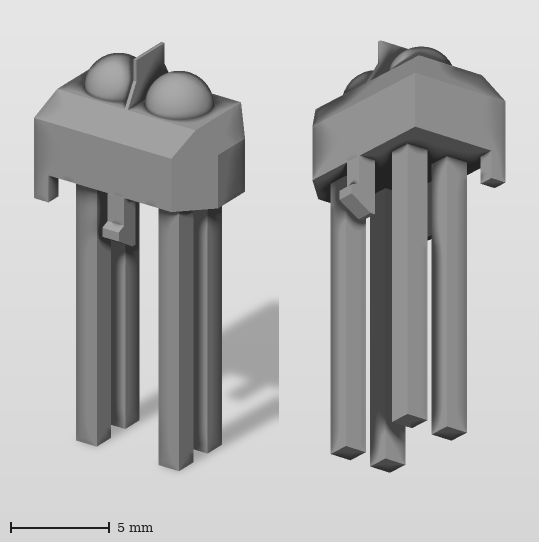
import cadquery as cq

total_height = 22.0
body_length = 10.19
body_width = 5.8
clip_span = 6.85

pin_length = 15.0
wall_height = 3.0
taper_height = 1.5
taper_inset_x = 0.81
taper_inset_y = 0.88
corner_cut = taper_inset_x + taper_inset_y
shoulder_z = pin_length + wall_height
top_z = shoulder_z + taper_height
top_length = body_length - 2 * taper_inset_x
top_width = body_width - 2 * taper_inset_y

pin_size = 1.28
pin_pitch_x = 5.08
pin_pitch_y = pin_pitch_x / 2

lens_radius = 1.75
lens_spacing = 3.75
lens_rise = 1.72

divider_thickness = 0.2
divider_top_width = 2.5
divider_taper_height = (top_width - divider_top_width) / 2 * taper_height / taper_inset_y

tab_length = 0.9
tab_width = 0.9
tab_drop = 1.52

clip_width = 1.01
clip_inner_y = 1.94
clip_outer_y = 2.95
clip_foot_y = 2.2
clip_tip_y = clip_span / 2
barb_start_drop = 1.55
barb_tip_drop = 1.74
barb_tip_end_drop = 2.25
clip_drop = 3.0


def make_housing():
    walls = cq.Workplane("XY").workplane(offset=pin_length).rect(body_length, body_width).extrude(wall_height)
    taper = (
        cq.Workplane("XY").workplane(offset=shoulder_z).rect(body_length, body_width)
        .workplane(offset=taper_height).rect(top_length, top_width)
        .loft(ruled=True)
    )
    housing = walls.union(taper)
    end_x = body_length / 2
    for side in (-1, 1):
        side_y = side * body_width / 2
        corner = (
            cq.Workplane("XY").workplane(offset=pin_length)
            .moveTo(end_x, side_y)
            .lineTo(end_x - corner_cut, side_y)
            .lineTo(end_x, side_y - side * corner_cut)
            .close()
            .extrude(wall_height + taper_height)
        )
        housing = housing.cut(corner)
    return housing


def make_pins():
    return (
        cq.Workplane("XY")
        .rarray(pin_pitch_x, pin_pitch_y, 2, 2)
        .rect(pin_size, pin_size)
        .extrude(pin_length)
    )


def make_lens(center_x):
    center_z = top_z + lens_rise - lens_radius
    lens = cq.Workplane("XY").sphere(lens_radius).translate((center_x, 0, center_z))
    keep_above_top = cq.Workplane("XY").box(
        2 * lens_radius, 2 * lens_radius, lens_rise, centered=(True, True, False)
    )
    return lens.intersect(keep_above_top.translate((center_x, 0, top_z)))


def make_divider():
    taper_end_z = top_z + divider_taper_height
    return (
        cq.Workplane("YZ")
        .moveTo(-top_width / 2, top_z)
        .lineTo(top_width / 2, top_z)
        .lineTo(divider_top_width / 2, taper_end_z)
        .lineTo(divider_top_width / 2, total_height)
        .lineTo(-divider_top_width / 2, total_height)
        .lineTo(-divider_top_width / 2, taper_end_z)
        .close()
        .extrude(divider_thickness / 2, both=True)
    )


def make_tab():
    tab = cq.Workplane("XY").box(tab_length, tab_width, tab_drop, centered=False)
    return tab.translate((-body_length / 2, -body_width / 2, pin_length - tab_drop))


def make_clip():
    """Clip on the +Y side, with an outward barb."""
    return (
        cq.Workplane("YZ")
        .moveTo(clip_inner_y, pin_length)
        .lineTo(clip_outer_y, pin_length)
        .lineTo(clip_outer_y, pin_length - barb_start_drop)
        .lineTo(clip_tip_y, pin_length - barb_tip_drop)
        .lineTo(clip_tip_y, pin_length - barb_tip_end_drop)
        .lineTo(clip_foot_y, pin_length - clip_drop)
        .lineTo(clip_inner_y, pin_length - clip_drop)
        .close()
        .extrude(clip_width / 2, both=True)
    )


clip = make_clip()
result = make_housing().union(make_pins()).union(make_divider()).union(make_tab())
result = result.union(clip).union(clip.mirror("XZ"))
for side in (-1, 1):
    result = result.union(make_lens(side * lens_spacing / 2))